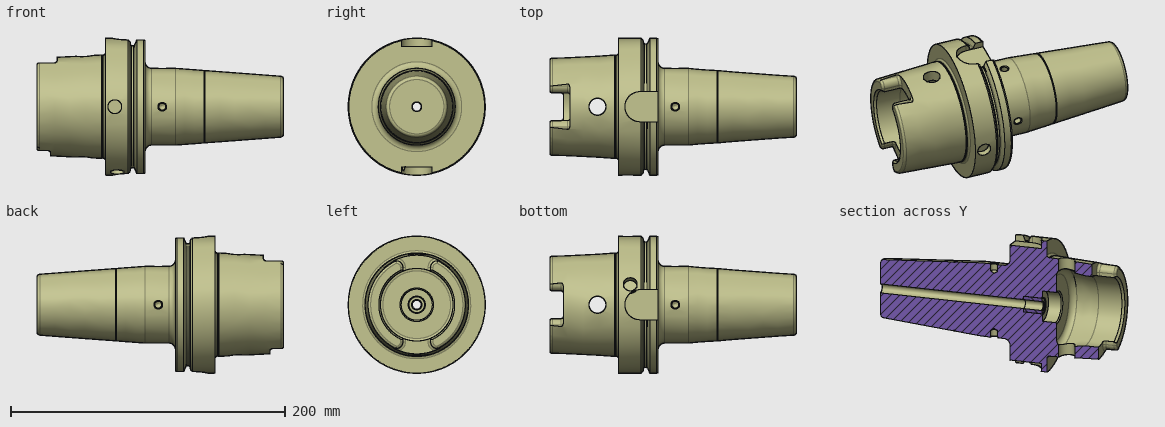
import cadquery as cq
import math

total_length = 180.0

shank_end_radius = 35.5
shank_big_radius = 37.8
shank_end_fillet = 1.8

relief_start = 47.3
relief_wall = 0.5
relief_depth = 0.2
relief_end = 49.0

root_radius = 1.8
root_height = 1.6

flange_start = 50.0
flange_end = 79.0
flange_radius = 50.0
flange_chamfer_length = 1.0
flange_chamfer_drop = 0.5
groove_lip_start = 66.5
groove_lip_end = 68.0
groove_lip_depth = 1.6
groove_floor_start = 68.5
groove_floor_end = 71.1
groove_end = 72.9
groove_floor_radius = 45.9
groove_floor_fillet = 0.7

neck_radius = 28.0
neck_fillet = 4.7
nose_cone_start = 101.0
nose_tip_radius = 22.1
nose_tip_fillet = 2.5

ring_start = 122.0
ring_width = 0.5
ring_depth = 0.5

bore_radius = 26.5
bore_mouth_radius = 27.7
bore_mouth_length = 1.8
bore_straight_length = 20.0
bore_wide_start = 38.0
bore_wide_radius = 29.2
bore_floor_fillet = 4.5
bore_depth = bore_wide_start + bore_floor_fillet

tube_recess_radius = 11.3
tube_recess_chamfer = 0.9
tube_recess_depth = 10.8
screw_radius = 5.8
screw_seat_chamfer = 0.5
screw_length = 14.4
screw_seat_start = bore_depth + tube_recess_depth
screw_front = screw_seat_start + screw_seat_chamfer
screw_end = screw_front + screw_length
coolant_radius = 3.2
coolant_chamfer = 0.5

slot_half_width = 10.0
slot_shelf_height = 32.0
slot_corner_radius = 4.9
slot_bottom_height = 18.0
slot_floor_fillet = 1.8
top_slot_depth = 14.8
bottom_slot_depth = 9.9

cross_hole_x = 34.7
cross_hole_radius = 6.1

keyway_start = 54.7
keyway_half_width = 11.0
keyway_floor_height = 44.0

rim_hole_radius = 5.0
chip_hole_depth = 4.7
chip_hole_x = 56.9
lower_hole_x = 58.7
lower_hole_depth = 7.2
lower_hole_angle = 17.4

balance_hole_x = 91.5
balance_hole_radius = 2.5
balance_mouth_radius = 3.2
balance_hole_depth = 5.4
drill_point_half_angle = 59.0

OUTSIDE = 108.0
SELECT_MARGIN = 0.2


def cone_radius(x):
    """Outer radius of the nose cone at x."""
    fraction = (x - nose_cone_start) / (total_length - nose_cone_start)
    return neck_radius + fraction * (nose_tip_radius - neck_radius)


def revolve_about_x(profile):
    """Close a profile drawn in the XZ plane and turn it about the X axis."""
    return profile.close().revolve(360, (0, 0, 0), (1, 0, 0))


def make_blank():
    """Outer shape of the holder as a solid of revolution."""
    profile = (
        cq.Workplane("XZ")
        .lineTo(0, shank_end_radius - shank_end_fillet)
        .radiusArc((shank_end_fillet, shank_end_radius), shank_end_fillet)
        .lineTo(relief_start, shank_big_radius)
        .lineTo(relief_start + relief_wall, shank_big_radius - relief_depth)
        .lineTo(relief_end - relief_wall, shank_big_radius - relief_depth)
        .lineTo(relief_end, shank_big_radius)
        .radiusArc((flange_start, shank_big_radius + root_height), -root_radius)
        .lineTo(flange_start, flange_radius)
        .lineTo(groove_lip_start, flange_radius)
        .lineTo(groove_lip_end, flange_radius - groove_lip_depth)
        .lineTo(groove_floor_start, groove_floor_radius)
        .lineTo(groove_floor_end, groove_floor_radius)
        .lineTo(groove_end, flange_radius)
        .lineTo(flange_end - flange_chamfer_length, flange_radius)
        .lineTo(flange_end, flange_radius - flange_chamfer_drop)
        .lineTo(flange_end, neck_radius + neck_fillet)
        .radiusArc((flange_end + neck_fillet, neck_radius), -neck_fillet)
        .lineTo(nose_cone_start, neck_radius)
        .lineTo(total_length, nose_tip_radius)
        .lineTo(total_length, 0)
    )
    groove_floor_edges = cq.selectors.BoxSelector(
        (groove_floor_start - SELECT_MARGIN, -SELECT_MARGIN, -SELECT_MARGIN),
        (groove_floor_end + SELECT_MARGIN, SELECT_MARGIN, SELECT_MARGIN),
    )
    blank = revolve_about_x(profile).faces(">X").edges().fillet(nose_tip_fillet)
    return blank.edges(groove_floor_edges).fillet(groove_floor_fillet)


def slot_cutter(depth):
    """Slot opening toward +Z, with shelves that spread above rounded corners and a rounded rim."""
    corner_base = slot_shelf_height - slot_corner_radius
    corner_end = slot_half_width + slot_corner_radius
    slot = (
        cq.Workplane("YZ")
        .moveTo(-slot_half_width, slot_bottom_height)
        .lineTo(slot_half_width, slot_bottom_height)
        .lineTo(slot_half_width, corner_base)
        .radiusArc((corner_end, slot_shelf_height), slot_corner_radius)
        .lineTo(OUTSIDE, slot_shelf_height)
        .lineTo(OUTSIDE, OUTSIDE)
        .lineTo(-OUTSIDE, OUTSIDE)
        .lineTo(-OUTSIDE, slot_shelf_height)
        .lineTo(-corner_end, slot_shelf_height)
        .radiusArc((-slot_half_width, corner_base), slot_corner_radius)
        .close()
        .extrude(depth)
        .faces(">X")
        .edges()
        .fillet(slot_floor_fillet)
    )
    block = cq.Workplane("YZ").rect(2 * OUTSIDE, 2 * OUTSIDE).extrude(depth)
    fingers = block.cut(slot).faces("<X").edges("not(<Z or <Y or >Y)").fillet(shank_end_fillet)
    return block.cut(fingers)


def make_bore():
    """Stepped hollow of the shank, the recess behind it and the screw seat."""
    profile = (
        cq.Workplane("XZ")
        .lineTo(0, bore_mouth_radius)
        .lineTo(bore_mouth_length, bore_radius)
        .lineTo(bore_straight_length, bore_radius)
        .lineTo(bore_wide_start, bore_wide_radius)
        .radiusArc((bore_depth, bore_wide_radius - bore_floor_fillet), bore_floor_fillet)
        .lineTo(bore_depth, tube_recess_radius + tube_recess_chamfer)
        .lineTo(bore_depth + tube_recess_chamfer, tube_recess_radius)
        .lineTo(screw_seat_start, tube_recess_radius)
        .lineTo(screw_seat_start, screw_radius + screw_seat_chamfer)
        .lineTo(screw_front, screw_radius)
        .lineTo(screw_end, screw_radius)
        .lineTo(screw_end, coolant_radius)
        .lineTo(total_length, coolant_radius)
        .lineTo(total_length, 0)
    )
    return revolve_about_x(profile)


def keyway_cutter():
    """Round-ended keyway opening toward +Z and the nose side of the flange."""
    return (
        cq.Workplane("XY")
        .workplane(offset=keyway_floor_height)
        .moveTo(OUTSIDE, -keyway_half_width)
        .lineTo(keyway_start + keyway_half_width, -keyway_half_width)
        .threePointArc((keyway_start, 0), (keyway_start + keyway_half_width, keyway_half_width))
        .lineTo(OUTSIDE, keyway_half_width)
        .close()
        .extrude(OUTSIDE)
    )


def cross_hole():
    """Hole along Z through both walls of the shank."""
    return cq.Workplane("XY").center(cross_hole_x, 0).circle(cross_hole_radius).extrude(OUTSIDE, both=True)


def rim_hole(x, depth):
    """Flat-bottomed blind hole entering the flange rim from +Z."""
    return (
        cq.Workplane("XY")
        .workplane(offset=flange_radius - depth)
        .center(x, 0)
        .circle(rim_hole_radius)
        .extrude(OUTSIDE)
    )


def balance_hole():
    """Drilled hole with a countersunk mouth entering the neck from +Z."""
    floor = neck_radius - balance_hole_depth
    point = balance_hole_radius / math.tan(math.radians(drill_point_half_angle))
    mouth = balance_mouth_radius - balance_hole_radius
    profile = (
        cq.Workplane("XZ")
        .moveTo(0, floor - point)
        .lineTo(balance_hole_radius, floor)
        .lineTo(balance_hole_radius, neck_radius - mouth)
        .lineTo(balance_mouth_radius, neck_radius)
        .lineTo(balance_mouth_radius, neck_radius + mouth)
        .lineTo(0, neck_radius + mouth)
        .close()
    )
    return profile.revolve(360, (0, 0, 0), (0, 1, 0)).translate((balance_hole_x, 0, 0))


def turned(shape, angle):
    """Shape turned about the X axis, from +Z toward -Y."""
    return shape.rotate((0, 0, 0), (1, 0, 0), angle)


def make_holder():
    """Complete holder, apart from the marking ring groove."""
    holder = make_blank()
    holder = holder.cut(slot_cutter(top_slot_depth))
    holder = holder.cut(turned(slot_cutter(bottom_slot_depth), 180))
    holder = holder.cut(make_bore())
    holder = holder.cut(cross_hole())
    for angle in (0, 180):
        holder = holder.cut(turned(keyway_cutter(), angle))
    holder = holder.cut(turned(rim_hole(chip_hole_x, chip_hole_depth), 90))
    holder = holder.cut(turned(rim_hole(lower_hole_x, lower_hole_depth), 180 - lower_hole_angle))
    for angle in (0, 90, 180, 270):
        holder = holder.cut(turned(balance_hole(), angle))
    return holder


def make_stop_screw():
    """Hollow screw seated in the holder behind the recess."""
    profile = (
        cq.Workplane("XZ")
        .moveTo(screw_front, coolant_radius + coolant_chamfer)
        .lineTo(screw_front, screw_radius)
        .lineTo(screw_end, screw_radius)
        .lineTo(screw_end, coolant_radius)
        .lineTo(screw_front + coolant_chamfer, coolant_radius)
    )
    return revolve_about_x(profile)


def make_marking_ring():
    """Thin ring that fills a groove in the nose cone flush with its surface."""
    ring_end = ring_start + ring_width
    profile = (
        cq.Workplane("XZ")
        .moveTo(ring_start, cone_radius(ring_start) - ring_depth)
        .lineTo(ring_start, cone_radius(ring_start))
        .lineTo(ring_end, cone_radius(ring_end))
        .lineTo(ring_end, cone_radius(ring_end) - ring_depth)
    )
    return revolve_about_x(profile)


stop_screw = make_stop_screw()
marking_ring = make_marking_ring()
holder = make_holder().cut(marking_ring)

result = cq.Compound.makeCompound([holder.val(), stop_screw.val(), marking_ring.val()])